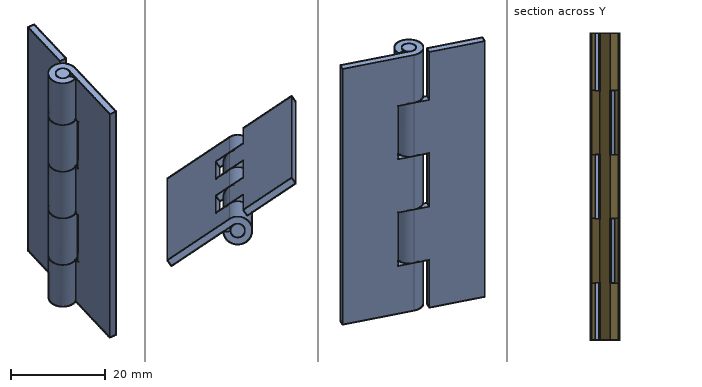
import cadquery as cq
import math

height = 65.0
open_width = 32.0
knuckle_diameter = 6.2
leaf_thickness = 1.55
end_knuckle_height = 12.15
knuckle_count = 5
notch_clearance = 0.42
curl_end_angle = 28.5

knuckle_radius = knuckle_diameter / 2
pin_radius = knuckle_radius - leaf_thickness
half_width = open_width / 2
plate_edge = knuckle_radius + notch_clearance
middle_knuckle_height = (height - 2 * end_knuckle_height) / (knuckle_count - 2)

inner_levels = [
    -height / 2 + end_knuckle_height + i * middle_knuckle_height
    for i in range(knuckle_count - 1)
]
levels = [-height / 2, *inner_levels, height / 2]


def on_circle(radius, angle):
    """Point at an angle in degrees on a circle about the pin axis."""
    return (radius * math.cos(math.radians(angle)), radius * math.sin(math.radians(angle)))


def make_plate():
    """Flat part of a leaf on the +X side, clear of the knuckles."""
    return cq.Workplane("XY").box(
        half_width - plate_edge, leaf_thickness, height, centered=False
    ).translate((plate_edge, pin_radius, -height / 2))


def make_curl(index):
    """One knuckle: a strip from the plate that rolls around the pin."""
    bottom = levels[index]
    top = levels[index + 1]
    return (
        cq.Workplane("XY", origin=(0, 0, bottom))
        .moveTo(plate_edge, knuckle_radius)
        .lineTo(0, knuckle_radius)
        .threePointArc((0, -knuckle_radius), on_circle(knuckle_radius, curl_end_angle))
        .lineTo(*on_circle(pin_radius, curl_end_angle))
        .threePointArc((0, -pin_radius), (0, pin_radius))
        .lineTo(plate_edge, pin_radius)
        .close()
        .extrude(top - bottom)
    )


def make_leaf(first_knuckle):
    """Leaf on the +X side with every second knuckle, from the given one."""
    leaf = make_plate()
    for index in range(first_knuckle, knuckle_count, 2):
        leaf = leaf.union(make_curl(index))
    return leaf


right_leaf = make_leaf(0)
left_leaf = make_leaf(1).mirror("YZ")

pin = cq.Workplane("XY", origin=(0, 0, -height / 2)).circle(pin_radius).extrude(height)

result = cq.Compound.makeCompound([right_leaf.solids().val(), left_leaf.solids().val(), pin.val()])